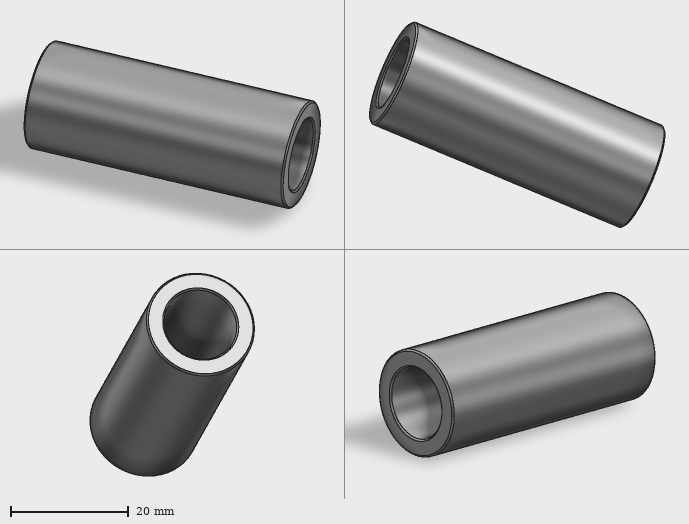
import cadquery as cq

length = 46.88
outer_diameter = 18.75
bore_diameter = 12.6
edge_chamfer = 0.3


def sleeve_body():
    """Square-ended tube running along X."""
    return (
        cq.Workplane("YZ", origin=(-length / 2, 0, 0))
        .circle(outer_diameter / 2)
        .circle(bore_diameter / 2)
        .extrude(length)
    )


def chamfer_ends(body):
    """Break the outer and bore edges of both end faces."""
    return body.faces("<X or >X").edges().chamfer(edge_chamfer)


result = chamfer_ends(sleeve_body())